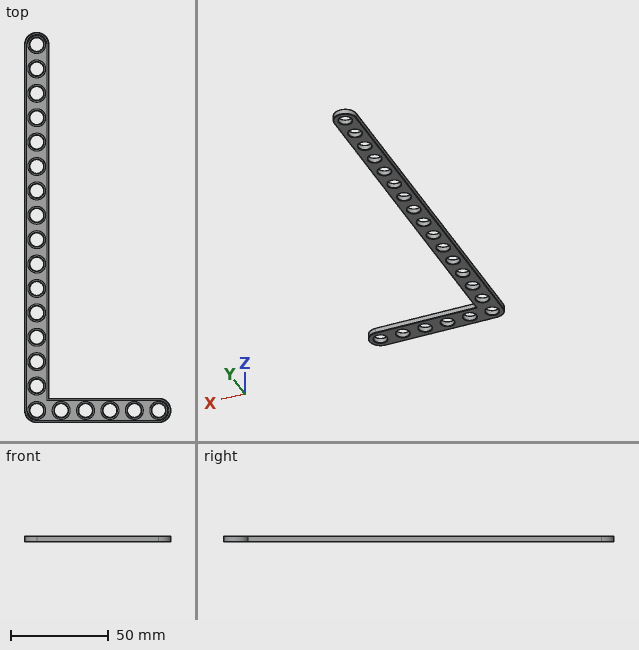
import cadquery as cq

pitch = 12.5
width = pitch
thickness = pitch / 4
long_arm_holes = 16
short_arm_holes = 6

hole_diameter = 7.0
collar_diameter = 9.2

rim_width = (collar_diameter - hole_diameter) / 2
recess_depth = 0.2

chamfer = 0.3

long_arm_span = (long_arm_holes - 1) * pitch
short_arm_span = (short_arm_holes - 1) * pitch
hole_centers = [(0, row * pitch) for row in range(long_arm_holes)]
hole_centers += [(column * pitch, 0) for column in range(1, short_arm_holes)]


def arm(span, arm_width, base, height, angle):
    """Round-ended bar that starts at the corner hole and points along the given angle."""
    return (
        cq.Workplane("XY")
        .workplane(offset=base)
        .transformed(rotate=(0, 0, angle))
        .center(span / 2, 0)
        .slot2D(span + arm_width, arm_width)
        .extrude(height)
    )


def angle_bar(bar_width, base, height):
    """L-shaped bar with its long arm along Y and its short arm along X."""
    long_arm = arm(long_arm_span, bar_width, base, height, 90)
    short_arm = arm(short_arm_span, bar_width, base, height, 0)
    return long_arm.union(short_arm)


def cylinders(diameter, base, height):
    """One upright cylinder on every hole center."""
    sketch = cq.Workplane("XY").workplane(offset=base).pushPoints(hole_centers)
    return sketch.circle(diameter / 2).extrude(height)


def chamfered_plate():
    """Flat drilled plate with every top and bottom edge chamfered."""
    plate = angle_bar(width, 0, thickness).cut(cylinders(hole_diameter, 0, thickness))
    return plate.faces("<Z or >Z").edges().chamfer(chamfer)


def top_recess():
    """Pocket inside the rim that leaves a collar standing around every hole."""
    floor = thickness - recess_depth
    pocket = angle_bar(width - 2 * rim_width, floor, recess_depth)
    return pocket.cut(cylinders(collar_diameter, floor, recess_depth))


result = chamfered_plate().cut(top_recess())